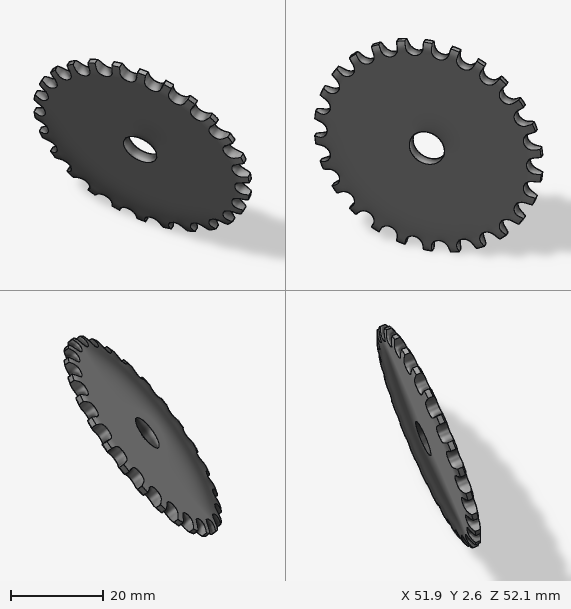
import cadquery as cq
import math

tooth_count = 26
tip_radius = 26.05
root_radius = 22.85
face_radius = 23.25
thickness = 2.6
tip_thickness = 1.2
tooth_width = 2.0
bore_diameter = 8.0

half_pitch_angle = math.pi / tooth_count
half_tooth = tooth_width / 2
gap_center_radius = (root_radius - half_tooth) / (1 - math.sin(half_pitch_angle))
gap_radius = gap_center_radius - root_radius

crown_depth = tip_radius - face_radius
crown_drop = (thickness - tip_thickness) / 2
crown_radius = (crown_depth**2 + crown_drop**2) / (2 * crown_drop)
half_crown_angle = math.atan2(crown_drop, crown_depth)


def crowned_disc():
    """Solid disc around the Y axis with its rim narrowed by an arc on each side."""
    half_thickness = thickness / 2
    half_tip = tip_thickness / 2
    mid_radius = face_radius + crown_radius * math.sin(half_crown_angle)
    mid_height = half_thickness - crown_radius * (1 - math.cos(half_crown_angle))
    return (
        cq.Workplane("XY")
        .moveTo(0, -half_thickness)
        .lineTo(face_radius, -half_thickness)
        .threePointArc((mid_radius, -mid_height), (tip_radius, -half_tip))
        .lineTo(tip_radius, half_tip)
        .threePointArc((mid_radius, mid_height), (face_radius, half_thickness))
        .lineTo(0, half_thickness)
        .close()
        .revolve(360, (0, 0, 0), (0, 1, 0))
    )


def tooth_gap():
    """Cutter for the gap on the +Z side, with flanks parallel to the adjacent teeth."""
    flank_x = gap_radius * math.cos(half_pitch_angle)
    flank_z = gap_center_radius - gap_radius * math.sin(half_pitch_angle)
    top_z = tip_radius + gap_radius
    top_x = flank_x + (top_z - flank_z) * math.tan(half_pitch_angle)
    return (
        cq.Workplane("XZ")
        .moveTo(-top_x, top_z)
        .lineTo(-flank_x, flank_z)
        .threePointArc((0, root_radius), (flank_x, flank_z))
        .lineTo(top_x, top_z)
        .close()
        .extrude(thickness / 2, both=True)
    )


def bore():
    return cq.Workplane("XZ").circle(bore_diameter / 2).extrude(thickness / 2, both=True)


result = crowned_disc().cut(bore())
gap = tooth_gap()
for index in range(tooth_count):
    angle = math.degrees((2 * index + 1) * half_pitch_angle)
    result = result.cut(gap.rotate((0, 0, 0), (0, 1, 0), angle))